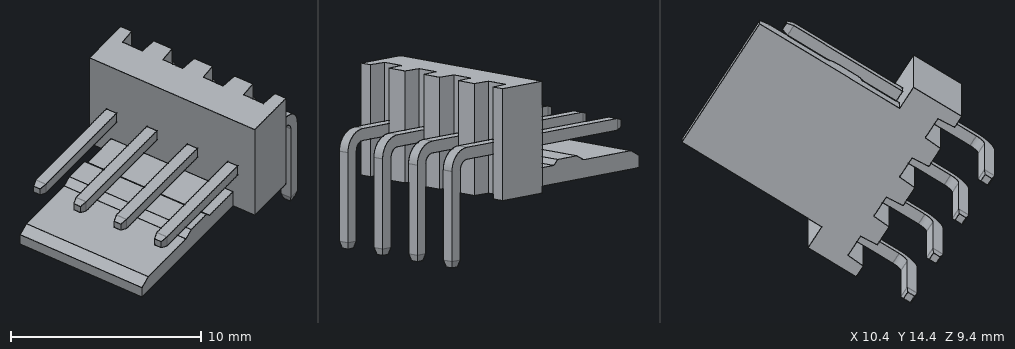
import cadquery as cq
import math


pin_count = 4
pin_pitch = 2.54
pin_positions = [(i - (pin_count - 1) / 2) * pin_pitch for i in range(pin_count)]

wall_width = 10.41
wall_depth = 3.0
wall_height = 6.0

notch_depth = 1.0
notch_floor_width = 1.24
notch_mouth_width = 1.38

tongue_width = 7.68
tongue_length = 8.7
tongue_thickness = 1.0
lead_in_length = 0.6
lead_in_drop = 0.33
ridge_height = 0.28
ridge_start = 2.25
ridge_crest_start = 2.55
ridge_crest_end = 4.0
ridge_end = 4.5

pin_size = 0.64
pin_axis_height = 2.62
pin_reach = 7.14
leg_reach = 3.4
leg_setback = 2.72
bend_inner_radius = 0.5
bend_outer_radius = bend_inner_radius + pin_size
tip_length = 0.38
tip_size = 0.42


def make_tongue():
    """Tongue side profile, extruded symmetrically about X = 0."""
    ridge_top = tongue_thickness + ridge_height
    profile = [
        (0, 0),
        (0, tongue_thickness),
        (-ridge_start, tongue_thickness),
        (-ridge_crest_start, ridge_top),
        (-ridge_crest_end, ridge_top),
        (-ridge_end, tongue_thickness),
        (-(tongue_length - lead_in_length), tongue_thickness),
        (-tongue_length, tongue_thickness - lead_in_drop),
        (-tongue_length, 0),
    ]
    return cq.Workplane("YZ").polyline(profile).close().extrude(tongue_width / 2, both=True)


def make_notch(x):
    """Full-height notch cutter, wider at the back face than at its floor."""
    floor_y = wall_depth - notch_depth
    outline = [
        (x - notch_floor_width / 2, floor_y),
        (x + notch_floor_width / 2, floor_y),
        (x + notch_mouth_width / 2, wall_depth),
        (x - notch_mouth_width / 2, wall_depth),
    ]
    return cq.Workplane("XY").polyline(outline).close().extrude(wall_height)


def make_pin_hole(x):
    """Square hole through the wall that fits one pin."""
    return (
        cq.Workplane("XY")
        .box(pin_size, wall_depth, pin_size)
        .translate((x, wall_depth / 2, pin_axis_height))
    )


def make_housing():
    wall = cq.Workplane("XY").box(wall_width, wall_depth, wall_height, centered=(True, False, False))
    housing = wall.union(make_tongue())
    for x in pin_positions:
        housing = housing.cut(make_notch(x)).cut(make_pin_hole(x))
    return housing


def make_pin(x):
    """Square wire bent down behind the wall, with a tapered tip at each end."""
    top = pin_axis_height + pin_size / 2
    bottom = pin_axis_height - pin_size / 2
    leg_back = wall_depth + leg_setback
    leg_front = leg_back - pin_size
    front_shoulder = -(pin_reach - tip_length)
    leg_shoulder = -(leg_reach - tip_length)
    bend_y = leg_back - bend_outer_radius
    bend_z = top - bend_outer_radius
    diagonal = math.sqrt(0.5)
    outer_mid = (bend_y + bend_outer_radius * diagonal, bend_z + bend_outer_radius * diagonal)
    inner_mid = (bend_y + bend_inner_radius * diagonal, bend_z + bend_inner_radius * diagonal)

    wire = (
        cq.Workplane("YZ")
        .moveTo(front_shoulder, bottom)
        .lineTo(front_shoulder, top)
        .lineTo(bend_y, top)
        .threePointArc(outer_mid, (leg_back, bend_z))
        .lineTo(leg_back, leg_shoulder)
        .lineTo(leg_front, leg_shoulder)
        .lineTo(leg_front, bend_z)
        .threePointArc(inner_mid, (bend_y, bottom))
        .close()
        .extrude(pin_size / 2, both=True)
    )
    front_tip = (
        cq.Workplane("XZ", origin=(0, front_shoulder, pin_axis_height))
        .rect(pin_size, pin_size)
        .workplane(offset=tip_length)
        .rect(tip_size, tip_size)
        .loft(ruled=True)
    )
    leg_tip = (
        cq.Workplane("YX", origin=(0, leg_back - pin_size / 2, leg_shoulder))
        .rect(pin_size, pin_size)
        .workplane(offset=tip_length)
        .rect(tip_size, tip_size)
        .loft(ruled=True)
    )
    return wire.union(front_tip).union(leg_tip).translate((x, 0, 0))


housing = make_housing()
pins = [make_pin(x) for x in pin_positions]

result = cq.Compound.makeCompound([housing.solids().val(), *[pin.solids().val() for pin in pins]])